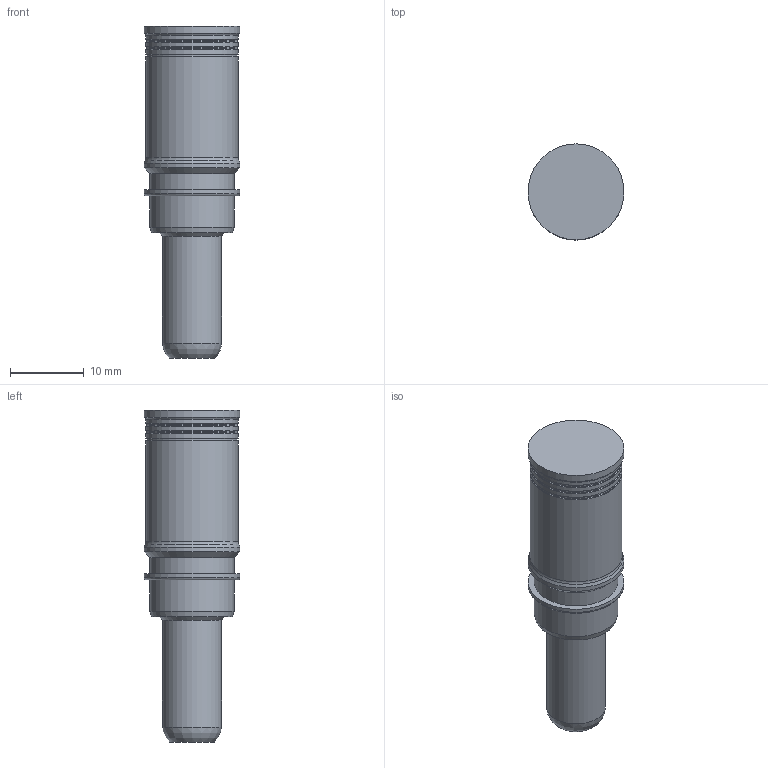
import cadquery as cq
import math

total_height = 45.0

rim_radius = 13.0 / 2
rim_thickness = 1.0
rim_fillet = 0.3
barrel_radius = 12.5 / 2
groove_count = 3
groove_pitch = 1.0
groove_width = 0.4
groove_floor_radius = 12.3 / 2
first_groove_depth = 1.8
flare_top = 27.2
flare_arc_radius = 1.0
flare_angle = 22.5
collar_bottom = 25.8

body_radius = 11.4 / 2
body_bottom = 17.0
body_taper_height = 0.7
body_taper_angle = 15.0
flange_radius = 13.0 / 2
flange_top = 22.8
flange_thickness = 0.8
flange_fillet = 0.3

pin_radius = 8.0 / 2
pin_root_chamfer = 0.5
tip_height = 2.0
tip_flat_radius = 3.0

rim_bottom = total_height - rim_thickness
collar_step = rim_radius - body_radius
groove_depth = barrel_radius - groove_floor_radius
body_taper_inset = body_taper_height * math.tan(math.radians(body_taper_angle))

tip_inset = pin_radius - tip_flat_radius
tip_arc_radius = (tip_inset**2 + tip_height**2) / (2 * tip_inset)

flare_tilt = math.radians(flare_angle)
flare_arc_end_radius = barrel_radius + flare_arc_radius * (1 - math.cos(flare_tilt))
flare_arc_end_height = flare_top - flare_arc_radius * math.sin(flare_tilt)
flare_bottom = flare_arc_end_height - (rim_radius - flare_arc_end_radius) / math.tan(flare_tilt)

rim_step = rim_radius - barrel_radius
rim_fillet_height = math.sqrt(rim_fillet**2 - (rim_fillet - rim_step) ** 2)


def make_core():
    """Revolve the stepped outline, from the pin tip up to the top face."""
    outline = (
        cq.Workplane("XZ")
        .moveTo(0, 0)
        .lineTo(tip_flat_radius, 0)
        .radiusArc((pin_radius, tip_height), -tip_arc_radius)
        .lineTo(pin_radius, body_bottom - pin_root_chamfer)
        .lineTo(pin_radius + pin_root_chamfer, body_bottom)
        .lineTo(body_radius - body_taper_inset, body_bottom)
        .lineTo(body_radius, body_bottom + body_taper_height)
        .lineTo(body_radius, collar_bottom - collar_step)
        .lineTo(rim_radius, collar_bottom)
        .lineTo(rim_radius, flare_bottom)
        .lineTo(flare_arc_end_radius, flare_arc_end_height)
        .radiusArc((barrel_radius, flare_top), flare_arc_radius)
        .lineTo(barrel_radius, rim_bottom - rim_fillet_height)
        .radiusArc((rim_radius, rim_bottom), rim_fillet)
        .lineTo(rim_radius, total_height)
        .lineTo(0, total_height)
        .close()
    )
    return outline.revolve(360, (0, 0, 0), (0, 1, 0))


def make_flange():
    """Thin disc around the body, rounded on its lower edge."""
    flange_bottom = flange_top - flange_thickness
    disc = cq.Workplane("XY").workplane(offset=flange_bottom).circle(flange_radius).extrude(flange_thickness)
    return disc.faces("<Z").edges().fillet(flange_fillet)


def make_groove(top):
    """Ring cutter for one groove with 45 degree walls, its upper edge at height top."""
    bottom = top - groove_width
    section = (
        cq.Workplane("XZ")
        .moveTo(rim_radius, bottom)
        .lineTo(barrel_radius, bottom)
        .lineTo(groove_floor_radius, bottom + groove_depth)
        .lineTo(groove_floor_radius, top - groove_depth)
        .lineTo(barrel_radius, top)
        .lineTo(rim_radius, top)
        .close()
    )
    return section.revolve(360, (0, 0, 0), (0, 1, 0))


result = make_core().union(make_flange())
for index in range(groove_count):
    groove_top = total_height - first_groove_depth - index * groove_pitch
    result = result.cut(make_groove(groove_top))